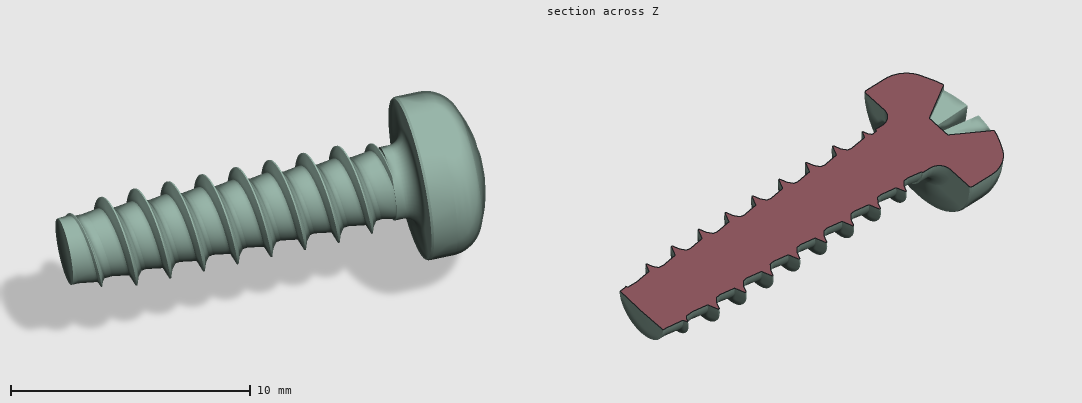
import cadquery as cq
import math


head_radius = 3.5
crown_height = 3.07
crown_edge_radius = 2.78
crown_edge_height = 2.37
head_wall_top = 1.13
seat_chamfer_height = 0.1
seat_chamfer_width = 0.05

slot_top_length = 3.6
slot_top_width = 0.72
slot_depth = 1.9
slot_bottom_length = 1.2
slot_bottom_width = 0.36

overall_length = 15.0
tip_cone_height = 0.03
tip_cone_radius = 1.34
tip_height = tip_cone_height - overall_length
neck_radius = 1.57
neck_fillet = 0.6
neck_length = 1.0
core_radius = 1.4

pitch = 1.46
half_pitch = pitch / 2
crest_radius = 2.0
crest_width = 0.06
lower_foot_radius = 1.51
lower_foot_offset = -0.22
upper_kink_radius = 1.66
upper_kink_offset = 0.16
upper_foot_radius = 1.43
upper_foot_offset = 0.34
valley_offset = 0.53

phase_height = -2.565
phase_angle = -90
full_thread_top = -2.6
full_thread_bottom = -12.83
head_fade_slope = 0.16
tip_fade_slope = 0.274
core_flare_start = -1.305
core_flare_end = -0.575
least_fullness = 0.05
half_turns_above_phase = 4
half_turns_below_phase = 18


def make_head():
    wall_top = (head_radius, head_wall_top)
    crown_edge = (crown_edge_radius, crown_edge_height)

    step_in = head_radius - crown_edge_radius
    step_up = crown_edge_height - head_wall_top
    corner_radius = (step_in**2 + step_up**2) / (2 * step_in)
    corner_angle = math.asin(step_up / corner_radius) / 2
    corner_middle = (
        head_radius - corner_radius * (1 - math.cos(corner_angle)),
        head_wall_top + corner_radius * math.sin(corner_angle),
    )

    crown_drop = crown_height - crown_edge_height
    crown_sphere = (crown_edge_radius**2 + crown_drop**2) / (2 * crown_drop)
    crown_angle = math.asin(crown_edge_radius / crown_sphere) / 2
    crown_middle = (
        crown_sphere * math.sin(crown_angle),
        crown_height - crown_sphere * (1 - math.cos(crown_angle)),
    )

    return (
        cq.Workplane("XZ")
        .moveTo(0, 0)
        .lineTo(head_radius - seat_chamfer_width, 0)
        .lineTo(head_radius, seat_chamfer_height)
        .lineTo(*wall_top)
        .threePointArc(corner_middle, crown_edge)
        .threePointArc(crown_middle, (0, crown_height))
        .close()
        .revolve(360, (0, 0, 0), (0, 1, 0))
    )


def make_slot():
    return (
        cq.Workplane("XY", origin=(0, 0, crown_height))
        .rect(slot_top_length, slot_top_width)
        .workplane(offset=-slot_depth)
        .rect(slot_bottom_length, slot_bottom_width)
        .loft(ruled=True)
    )


def make_neck():
    fillet_reach = neck_fillet * (1 - math.sqrt(0.5))
    return (
        cq.Workplane("XZ")
        .moveTo(0, 0)
        .lineTo(neck_radius + neck_fillet, 0)
        .threePointArc((neck_radius + fillet_reach, -fillet_reach), (neck_radius, -neck_fillet))
        .lineTo(neck_radius, -neck_length)
        .lineTo(0, -neck_length)
        .close()
        .revolve(360, (0, 0, 0), (0, 1, 0))
    )


def make_tip():
    return (
        cq.Workplane("XZ")
        .moveTo(0, tip_height)
        .lineTo(tip_cone_radius, tip_height)
        .lineTo(0, -overall_length)
        .close()
        .revolve(360, (0, 0, 0), (0, 1, 0))
    )


def core_at(height):
    flare = (height - core_flare_start) / (core_flare_end - core_flare_start)
    return core_radius + (neck_radius - core_radius) * min(max(flare, 0), 1)


def crest_at(height):
    tip_drop = tip_fade_slope * (full_thread_bottom - height)
    head_drop = head_fade_slope * (height - full_thread_top)
    return max(crest_radius - max(tip_drop, head_drop, 0), core_at(height))


def thread_section(height):
    """One pitch of the thread as (radius, offset), from one valley line to the next."""
    core = core_at(height)
    crest = crest_at(height)
    fullness = max((crest - core) / (crest_radius - core_radius), least_fullness)
    half_crest = fullness * crest_width / 2
    lower_valley = valley_offset - pitch

    def faded(full_radius):
        return core + fullness * (full_radius - core_radius)

    return [
        (core_at(height + lower_valley), lower_valley),
        (min(max(lower_foot_radius, core), crest), fullness * lower_foot_offset),
        (crest, -half_crest),
        (crest, half_crest),
        (faded(upper_kink_radius), fullness * upper_kink_offset),
        (faded(upper_foot_radius), fullness * upper_foot_offset),
        (core_at(height + valley_offset), valley_offset),
    ]


def place(shape, height):
    """Turn a shape to where the crest passes the given height and lift it there."""
    turn = phase_angle + 360 * (height - phase_height) / pitch
    return shape.rotate(cq.Vector(0, 0, 0), cq.Vector(0, 0, 1), turn).translate(cq.Vector(0, 0, height))


def half_turn_edge(start, end):
    """Half a turn of helix between two (radius, offset) corners half a pitch apart."""
    start_radius, start_offset = start
    end_radius, end_offset = end
    rise = half_pitch + end_offset - start_offset
    cone_angle = math.atan((end_radius - start_radius) / rise)
    slant_rise = rise / math.cos(cone_angle)
    if cone_angle:
        helix = cq.Wire.makeHelix(2 * slant_rise, slant_rise, start_radius, angle=math.degrees(cone_angle))
    else:
        helix = cq.Wire.makeHelix(2 * slant_rise, slant_rise, start_radius)
    return helix.translate(cq.Vector(0, 0, start_offset)).Edges()[0]


def half_turn_faces(height):
    """Helical strips joining neighbouring corners of the thread section over half a turn."""
    sections = zip(thread_section(height), thread_section(height + half_pitch))
    edges = [half_turn_edge(start, end) for start, end in sections]
    return [place(cq.Face.makeRuledSurface(*pair), height) for pair in zip(edges, edges[1:])]


def end_cap(height):
    """Flat half-section from the axis out to the thread profile."""
    section = thread_section(height)
    outline = [(0, section[0][1])] + section + [(0, section[-1][1])]
    corners = [cq.Vector(radius, 0, offset) for radius, offset in outline]
    return place(cq.Face.makeFromWires(cq.Wire.makePolygon(corners, close=True)), height)


def end_ramp(height):
    """Half a turn of the helical floor from the axis out to the valley line."""
    start = thread_section(height)[0]
    end = thread_section(height + half_pitch)[0]
    offset = start[1]
    valley = half_turn_edge(start, end)
    axis = cq.Edge.makeLine(cq.Vector(0, 0, offset), cq.Vector(0, 0, offset + half_pitch))
    return place(cq.Face.makeRuledSurface(axis, valley), height)


def make_thread():
    """Threaded core: a closed skin of helical strips, trimmed flat at the neck and the tip."""
    bottom = phase_height - half_turns_below_phase * half_pitch
    top = phase_height + half_turns_above_phase * half_pitch
    faces = [end_cap(bottom), end_cap(top)]
    for end in (bottom, top):
        faces += [end_ramp(end), end_ramp(end + half_pitch)]
    for step in range(half_turns_below_phase + half_turns_above_phase):
        faces += half_turn_faces(bottom + step * half_pitch)
    skin = cq.Workplane(obj=cq.Solid.makeSolid(cq.Shell.makeShell(faces)).fix())

    zone_length = -neck_length - tip_height
    zone = cq.Workplane("XY", origin=(0, 0, tip_height)).circle(head_radius).extrude(zone_length)
    return skin.intersect(zone)


screw = make_head().union(make_neck()).union(make_thread()).union(make_tip())
for slot_angle in (0, 90):
    screw = screw.cut(make_slot().rotate((0, 0, 0), (0, 0, 1), slot_angle))

result = screw.rotate((0, 0, 0), (1, 0, 0), -90)